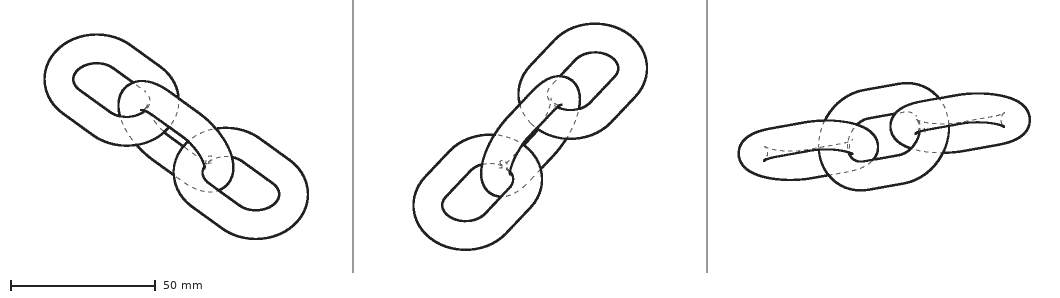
import cadquery as cq

chain_length = 109.8
wire_diameter = 10.0
link_width = 36.0
straight_length = 14.0
joint_overlap = 0.1

wire_radius = wire_diameter / 2
bend_radius = (link_width - wire_diameter) / 2
link_length = straight_length + link_width
taut_pitch = link_length - 2 * wire_diameter
joined_pitch = taut_pitch + joint_overlap

right_x = (chain_length - link_length) / 2
middle_x = right_x - joined_pitch
left_x = -right_x


def make_link(center_x, tilt=0):
    """Oval link lying in the XY plane, tilted about X and moved along X."""
    half_straight = straight_length / 2
    end_x = half_straight + bend_radius

    center_line = (
        cq.Workplane("XY")
        .moveTo(-half_straight, -bend_radius)
        .lineTo(half_straight, -bend_radius)
        .threePointArc((end_x, 0), (half_straight, bend_radius))
        .lineTo(-half_straight, bend_radius)
        .threePointArc((-end_x, 0), (-half_straight, -bend_radius))
    )

    wire_section = cq.Workplane("YZ", origin=(-half_straight, -bend_radius, 0)).circle(wire_radius)
    link = wire_section.sweep(center_line)
    return link.rotate((0, 0, 0), (1, 0, 0), tilt).translate((center_x, 0, 0))


left_link = make_link(left_x)

joined_links = make_link(middle_x, tilt=90).union(make_link(right_x))

result = cq.Compound.makeCompound([left_link.val(), *joined_links.vals()])